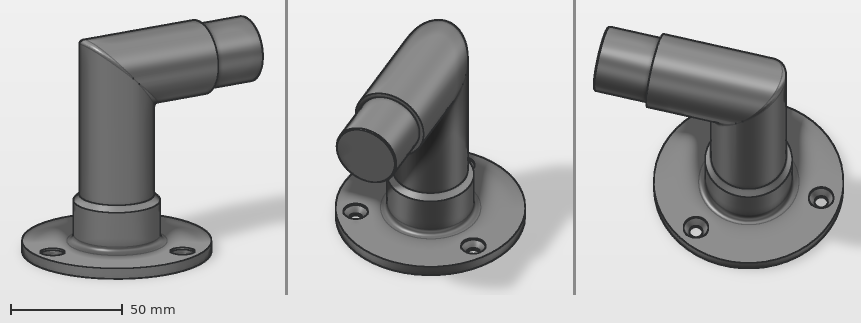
import cadquery as cq
import math

flange_diameter = 85.0
overall_length = 110.5
overall_height = 100.9

flange_thickness = 5.0
collar_diameter = 39.0
collar_fillet = 3.0
collar_top = 26.6

tube_diameter = 33.7
bend_radius = 2.0
spigot_diameter = 29.6
spigot_length = 25.0
spigot_chamfer = 0.5

screw_count = 3
screw_circle_radius = 33.6
screw_diameter = 6.0
countersink_diameter = 11.0
countersink_angle = 90.0
rim_depth = 1.0

flange_radius = flange_diameter / 2
collar_radius = collar_diameter / 2
tube_radius = tube_diameter / 2
arm_height = overall_height - tube_radius
arm_end = overall_length - flange_radius
shoulder = arm_end - spigot_length

band_half_width = 2.2


def make_foot():
    """Flange, filleted collar and its chamfered top, turned about Z."""
    collar_chamfer = collar_radius - tube_radius
    return (
        cq.Workplane("XZ")
        .lineTo(flange_radius, 0)
        .lineTo(flange_radius, flange_thickness)
        .lineTo(collar_radius + collar_fillet, flange_thickness)
        .radiusArc((collar_radius, flange_thickness + collar_fillet), collar_fillet)
        .lineTo(collar_radius, collar_top - collar_chamfer)
        .lineTo(tube_radius, collar_top)
        .lineTo(0, collar_top)
        .close()
        .revolve(360, (0, 0, 0), (0, 1, 0))
    )


def mitred_tube(base_plane, length, side_outline):
    """Round bar from a base plane, trimmed to an outline in the YZ plane."""
    bar = cq.Workplane(base_plane).circle(tube_radius).extrude(length)
    trim = cq.Workplane("YZ").polyline(side_outline).close().extrude(tube_radius, both=True)
    return bar.intersect(trim)


def make_sharp_elbow():
    """Upright and arm meeting in a 45 degree miter."""
    outer_corner = (-tube_radius, overall_height)
    inner_corner = (tube_radius, arm_height - tube_radius)
    upright = mitred_tube(
        cq.Plane.XY(),
        overall_height,
        [(-tube_radius, 0), (tube_radius, 0), inner_corner, outer_corner],
    )
    arm = mitred_tube(
        cq.Plane.XZ((0, shoulder, arm_height)),
        shoulder + tube_radius,
        [outer_corner, inner_corner, (shoulder, inner_corner[1]), (shoulder, overall_height)],
    )
    return upright.union(arm)


def lies_in_miter(edge):
    """True when the edge runs along the 45 degree plane y + z = arm_height."""
    points = [edge.positionAt(fraction) for fraction in (0, 0.3, 0.6)]
    return all(math.isclose(p.y + p.z, arm_height, abs_tol=0.001) for p in points)


def split_and_round(elbow, direction):
    """Elbow beyond the band, sharp and rounded; direction is 1 outside, -1 inside."""
    block_size = 2 * overall_length
    across_miter = cq.Plane((0, 0, arm_height), xDir=(1, 0, 0), normal=(0, -direction, direction))
    half_space = (
        cq.Workplane(across_miter)
        .workplane(offset=band_half_width)
        .rect(block_size, block_size)
        .extrude(block_size)
    )
    sharp = elbow.intersect(half_space)
    miter = [edge for edge in sharp.edges("%ELLIPSE").vals() if lies_in_miter(edge)]
    return sharp, sharp.newObject(miter).fillet(bend_radius)


def round_miter(elbow):
    """Take the outer corner off the elbow and fill its inner corner."""
    sharp_outer, rounded_outer = split_and_round(elbow, 1)
    sharp_inner, rounded_inner = split_and_round(elbow, -1)
    waste = sharp_outer.cut(rounded_outer)
    fill = rounded_inner.cut(sharp_inner)
    return elbow.cut(waste).union(fill)


def make_spigot():
    """Thinner end of the arm, with a small chamfer on its rim."""
    return (
        cq.Workplane("XZ", origin=(0, shoulder, arm_height))
        .circle(spigot_diameter / 2)
        .extrude(-spigot_length)
        .faces(">Y")
        .chamfer(spigot_chamfer)
    )


def drill_screw_holes(body):
    """Countersunk holes with a short straight rim, the first on the -Y side."""
    hole_radius = screw_diameter / 2
    rim_radius = countersink_diameter / 2
    cone_top = flange_thickness - rim_depth
    cone_depth = (rim_radius - hole_radius) / math.tan(math.radians(countersink_angle / 2))
    drill = (
        cq.Workplane("XZ", origin=(0, -screw_circle_radius, 0))
        .lineTo(hole_radius, 0)
        .lineTo(hole_radius, cone_top - cone_depth)
        .lineTo(rim_radius, cone_top)
        .lineTo(rim_radius, flange_thickness)
        .lineTo(0, flange_thickness)
        .close()
        .revolve(360, (0, 0, 0), (0, 1, 0))
    )
    for index in range(screw_count):
        body = body.cut(drill.rotate((0, 0, 0), (0, 0, 1), index * 360 / screw_count))
    return body


foot = drill_screw_holes(make_foot())
elbow = round_miter(make_sharp_elbow())
result = foot.union(elbow).union(make_spigot())